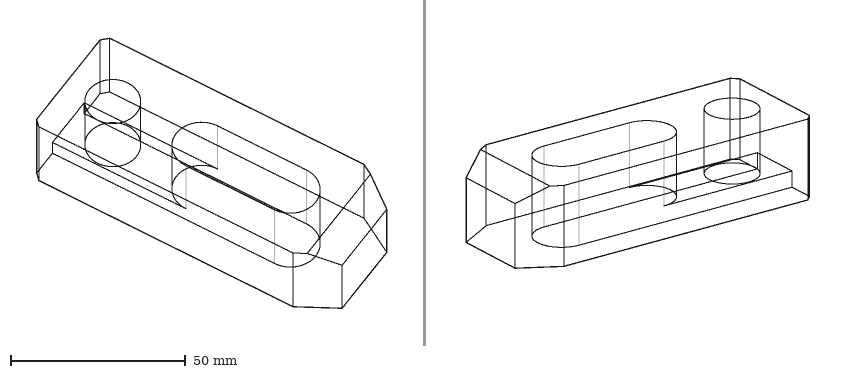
import cadquery as cq
import math

length = 100.0
width = 38.0
height = 25.0
back_chamfer = 2.0

nose_angle = math.radians(30)
nose_width = 24.0
nose_height = 20.0
side_taper_length = (width - nose_width) / 2 / math.tan(nose_angle)
top_taper_length = (height - nose_height) / math.tan(nose_angle)

hole_diameter = 16.0
hole_x = 15.0
slot_width = 17.0
slot_start = 36.5
slot_end = 83.5
slot_length = slot_end - slot_start
slot_center_x = (slot_start + slot_end) / 2
channel_depth = 5.0


def make_body():
    """Rectangular block with chamfered back corners and a tapered nose."""
    body = (
        cq.Workplane("XY")
        .moveTo(0, -width / 2 + back_chamfer)
        .lineTo(back_chamfer, -width / 2)
        .lineTo(length - side_taper_length, -width / 2)
        .lineTo(length, -nose_width / 2)
        .lineTo(length, nose_width / 2)
        .lineTo(length - side_taper_length, width / 2)
        .lineTo(back_chamfer, width / 2)
        .lineTo(0, width / 2 - back_chamfer)
        .close()
        .extrude(height)
    )
    top_wedge = (
        cq.Workplane("XZ")
        .moveTo(length - top_taper_length, height)
        .lineTo(length, height)
        .lineTo(length, nose_height)
        .close()
        .extrude(width / 2, both=True)
    )
    return body.cut(top_wedge)


def make_openings():
    """Round hole, long slot and the underside channel joining them to the back."""
    hole = cq.Workplane("XY").center(hole_x, 0).circle(hole_diameter / 2).extrude(height)
    slot = cq.Workplane("XY").center(slot_center_x, 0).slot2D(slot_length, slot_width).extrude(height)
    channel = (
        cq.Workplane("XY")
        .center(slot_center_x / 2, 0)
        .rect(slot_center_x, slot_width)
        .extrude(channel_depth)
    )
    return hole.union(slot).union(channel)


result = make_body().cut(make_openings())